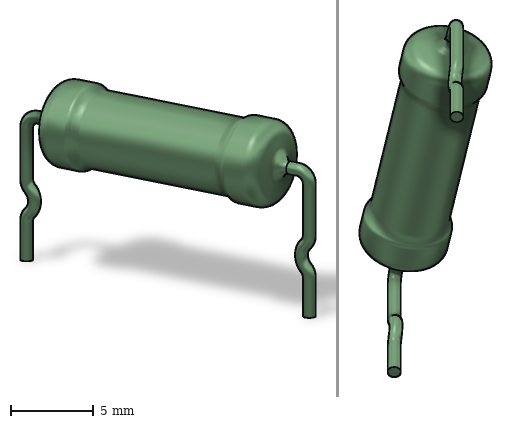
import cadquery as cq
import math

overall_length = 21.12
wire_diameter = 0.8
wire_radius = wire_diameter / 2
lead_axis_x = overall_length / 2 - wire_radius

barrel_radius = 4.9 / 2
cap_radius = 5.5 / 2
barrel_half_length = 4.88
cap_inner_x = 5.77
cap_outer_x = 7.05
shoulder_crest_radius = 0.42
cap_corner_radius = 0.89
end_face_tilt = math.radians(5.5)

neck_tip_x = 8.75
neck_tip_arc_radius = 0.6
neck_base_radius = 1.1
neck_slope = math.radians(45)

lead_bottom_z = -9.25
bend_radius = 0.8
kink_top_z = -4.1
kink_height = 2.68
kink_angle = math.radians(46)


def point_on_arc(center, radius, angle):
    """Point at an angle, in radians, on a circle."""
    return (center[0] + radius * math.cos(angle), center[1] + radius * math.sin(angle))


def make_body():
    """Barrel, two bulged caps and two flared necks, revolved about X."""
    shoulder_length = cap_inner_x - barrel_half_length
    shoulder_angle = 2 * math.atan((cap_radius - barrel_radius) / shoulder_length)
    shoulder_root_radius = shoulder_length / math.sin(shoulder_angle) - shoulder_crest_radius
    root_center = (barrel_half_length, barrel_radius + shoulder_root_radius)
    crest_center = (cap_inner_x, cap_radius - shoulder_crest_radius)
    root_start_angle = -math.pi / 2
    root_middle = point_on_arc(root_center, shoulder_root_radius, root_start_angle + shoulder_angle / 2)
    root_end = point_on_arc(root_center, shoulder_root_radius, root_start_angle + shoulder_angle)
    crest_middle = point_on_arc(crest_center, shoulder_crest_radius, (math.pi + shoulder_angle) / 2)

    corner_center = (cap_outer_x, cap_radius - cap_corner_radius)
    corner_middle = point_on_arc(corner_center, cap_corner_radius, (math.pi / 2 + end_face_tilt) / 2)
    corner_end = point_on_arc(corner_center, cap_corner_radius, end_face_tilt)
    neck_base_x = corner_end[0] + (corner_end[1] - neck_base_radius) * math.tan(end_face_tilt)

    tip_center = (neck_tip_x, wire_radius + neck_tip_arc_radius)
    tip_start_angle = -math.pi / 2
    tip_middle = point_on_arc(tip_center, neck_tip_arc_radius, tip_start_angle - neck_slope / 2)
    tip_end = point_on_arc(tip_center, neck_tip_arc_radius, tip_start_angle - neck_slope)

    cone_drop = neck_base_radius - tip_end[1]
    cone_offset = tip_end[0] - neck_base_x
    base_turn = math.pi / 2 - neck_slope - end_face_tilt
    corner_rise = (cone_drop - cone_offset * math.tan(neck_slope)) / (
        1 + math.tan(neck_slope) * math.tan(end_face_tilt)
    )
    base_tangent_length = corner_rise / math.cos(end_face_tilt)
    base_arc_radius = base_tangent_length / math.tan(base_turn / 2)
    base_center = (
        neck_base_x + base_arc_radius * math.cos(end_face_tilt),
        neck_base_radius + base_arc_radius * math.sin(end_face_tilt),
    )
    base_start_angle = math.pi + end_face_tilt
    base_middle = point_on_arc(base_center, base_arc_radius, base_start_angle + base_turn / 2)
    base_end = point_on_arc(base_center, base_arc_radius, base_start_angle + base_turn)

    half_body = (
        cq.Workplane("XY")
        .moveTo(0, 0)
        .lineTo(0, barrel_radius)
        .lineTo(barrel_half_length, barrel_radius)
        .threePointArc(root_middle, root_end)
        .threePointArc(crest_middle, (cap_inner_x, cap_radius))
        .lineTo(cap_outer_x, cap_radius)
        .threePointArc(corner_middle, corner_end)
        .lineTo(neck_base_x, neck_base_radius)
        .threePointArc(base_middle, base_end)
        .lineTo(*tip_end)
        .threePointArc(tip_middle, (neck_tip_x, wire_radius))
        .lineTo(neck_tip_x, 0)
        .close()
        .revolve(360, (0, 0, 0), (1, 0, 0))
    )
    return half_body.union(half_body.rotate((0, 0, 0), (0, 0, 1), 180)).clean().solids()


def make_lead(side):
    """Round wire from a neck tip, bent down and kinked inward; side is +1 or -1 along X."""
    elbow_center = (lead_axis_x - bend_radius, -bend_radius)
    elbow_middle = point_on_arc(elbow_center, bend_radius, math.pi / 4)

    kink_middle_z = kink_top_z - kink_height / 2
    upper_center = (lead_axis_x - bend_radius, kink_top_z)
    lower_center = (lead_axis_x - bend_radius, kink_top_z - kink_height)
    kink_depth = kink_height / 2 * math.tan(kink_angle / 2)
    upper_middle = point_on_arc(upper_center, bend_radius, -kink_angle / 2)
    upper_end = point_on_arc(upper_center, bend_radius, -kink_angle)
    lower_start = point_on_arc(lower_center, bend_radius, kink_angle)
    lower_middle = point_on_arc(lower_center, bend_radius, kink_angle / 2)
    kink_apex = (lead_axis_x - kink_depth, kink_middle_z)

    def placed(point):
        return (side * point[0], point[1])

    path = (
        cq.Workplane("XZ")
        .moveTo(side * neck_tip_x, 0)
        .lineTo(side * elbow_center[0], 0)
        .threePointArc(placed(elbow_middle), (side * lead_axis_x, -bend_radius))
        .lineTo(side * lead_axis_x, kink_top_z)
        .threePointArc(placed(upper_middle), placed(upper_end))
        .threePointArc(placed(kink_apex), placed(lower_start))
        .threePointArc(placed(lower_middle), placed((lead_axis_x, lower_center[1])))
        .lineTo(side * lead_axis_x, lead_bottom_z)
    )
    return cq.Workplane("YZ", origin=(side * neck_tip_x, 0, 0)).circle(wire_radius).sweep(path)


body = make_body()
leads = [make_lead(side) for side in (-1, 1)]

result = cq.Compound.makeCompound([body.val(), *[lead.val() for lead in leads]])